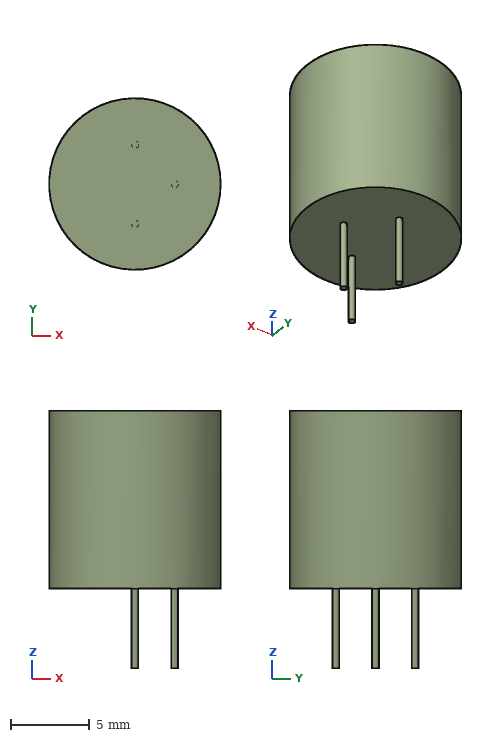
import cadquery as cq

housing_diameter = 11.0
housing_height = 11.4

pin_diameter = 0.45
pin_length = 5.1
pin_pitch = 2.54

pin_positions = [(0, -pin_pitch), (pin_pitch, 0), (0, pin_pitch)]


def make_housing():
    return cq.Workplane("XY").circle(housing_diameter / 2).extrude(housing_height)


def make_pin(x, y):
    """One lead, touching the underside of the housing at (x, y)."""
    return cq.Workplane("XY").center(x, y).circle(pin_diameter / 2).extrude(-pin_length)


housing = make_housing()
pins = [make_pin(x, y) for x, y in pin_positions]

result = cq.Compound.makeCompound([housing.val(), *[pin.val() for pin in pins]])